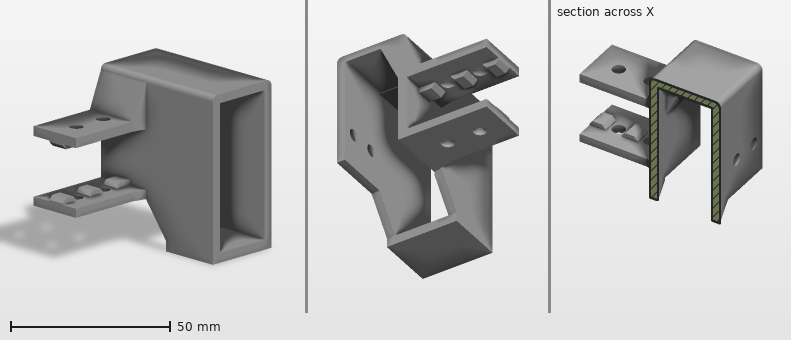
import cadquery as cq

length = 49.5
height = 55.2
depth = 56.0
housing_depth = 26.1
wall = 3.0
floor = 3.25
ceiling = 2.95
edge_radius = 1.9
front_face = -housing_depth
cavity_front = -22.95

open_end = 20.0
open_ceiling = 2.5
open_corner_radius = 0.7
floor_start = 28.85
floor_edge_height = 3.4

arm_width = 18.75
lower_arm_bottom = 15.25
lower_arm_top = 18.2
upper_arm_bottom = 38.1
upper_arm_top = 41.3
shoulder_front = -30.95
shoulder_top = height - edge_radius
hip_bottom = 38.75
hip_back = -16.35
side_slope = (open_end - arm_width) / (front_face - shoulder_front)

tooth_count = 3
tooth_length = (depth - housing_depth) / (2 * tooth_count - 1)
tooth_pitch = 2 * tooth_length
tooth_flat = 3.3
tooth_height = 1.9
tooth_base = 0.45
tooth_width = 6.0
arm_center_x = 10.0
arm_hole_diameter = 4.6

back_hole_diameter = 4.2
back_hole_spacing = 10.0
back_hole_height = 27.6


def extrude_along_x(points, start, end):
    """Extrude a closed (Y, Z) outline from X = start to X = end."""
    return cq.Workplane("YZ").workplane(offset=start).polyline(points).close().extrude(end - start)


def box(x0, x1, y0, y1, z0, z1):
    return cq.Workplane("XY").box(x1 - x0, y1 - y0, z1 - z0, centered=False).translate((x0, y0, z0))


def side_x(y):
    """X of the slanted arm side where it crosses the given Y."""
    return open_end + side_slope * (y - front_face)


def make_housing():
    shell = box(0, length, front_face, 0, 0, height)
    shell = shell.edges("|X and >Z").fillet(edge_radius)
    tube_cavity = box(open_end, length, cavity_front, -wall, floor, height - ceiling)
    open_cavity = box(0, open_end, cavity_front, -wall, 0, height - open_ceiling)
    open_cavity = open_cavity.edges("|X and >Z and >Y").fillet(open_corner_radius)
    lower_corner = (
        cq.Workplane("XZ")
        .polyline([
            (0, 0),
            (floor_start, 0),
            (floor_start, floor_edge_height),
            (open_end, lower_arm_bottom),
            (0, lower_arm_bottom),
        ])
        .close()
        .extrude(housing_depth)
    )
    slanted_wall_end = (
        cq.Workplane("XY")
        .polyline([
            (0, cavity_front),
            (side_x(cavity_front), cavity_front),
            (open_end, front_face),
            (0, front_face),
        ])
        .close()
        .extrude(lower_arm_bottom)
    )
    return shell.cut(tube_cavity).cut(open_cavity).cut(lower_corner).cut(slanted_wall_end)


def make_arms():
    plan = (
        cq.Workplane("XY")
        .polyline([
            (0, hip_back),
            (open_end, hip_back),
            (open_end, front_face),
            (arm_width, shoulder_front),
            (arm_width, -depth),
            (0, -depth),
        ])
        .close()
        .extrude(height)
    )
    lower_arm = box(0, open_end, -depth, cavity_front, lower_arm_bottom, lower_arm_top)
    upper_arm = extrude_along_x(
        [
            (-depth, upper_arm_bottom),
            (-depth, upper_arm_top),
            (shoulder_front, upper_arm_top),
            (front_face, shoulder_top),
            (hip_back, height - open_ceiling),
            (cavity_front, hip_bottom),
            (cavity_front, upper_arm_bottom),
        ],
        0,
        open_end,
    )
    return lower_arm.union(upper_arm).intersect(plan)


def make_tooth(center_y, root_z, direction, at_wall):
    """Tapered tooth standing on an arm face; direction is +1 upward, -1 downward."""
    base_z = root_z + direction * tooth_base
    tip_z = root_z + direction * tooth_height
    half_length = tooth_length / 2
    half_flat = tooth_flat / 2
    back_flat = half_length if at_wall else half_flat
    return extrude_along_x(
        [
            (center_y - half_length, root_z),
            (center_y - half_length, base_z),
            (center_y - half_flat, tip_z),
            (center_y + back_flat, tip_z),
            (center_y + half_length, base_z),
            (center_y + half_length, root_z),
        ],
        arm_center_x - tooth_width / 2,
        arm_center_x + tooth_width / 2,
    )


result = make_housing().union(make_arms())

first_tooth_y = front_face - tooth_length / 2
for index in range(tooth_count):
    tooth_y = first_tooth_y - index * tooth_pitch
    result = result.union(make_tooth(tooth_y, lower_arm_top, 1, index == 0))
    result = result.union(make_tooth(tooth_y, upper_arm_bottom, -1, index == 0))

first_hole_y = first_tooth_y - tooth_pitch / 2
arm_hole_points = [(arm_center_x, first_hole_y - index * tooth_pitch) for index in range(tooth_count - 1)]
arm_holes = cq.Workplane("XY").pushPoints(arm_hole_points).circle(arm_hole_diameter / 2).extrude(height)
result = result.cut(arm_holes)

back_hole_points = [(arm_center_x + side * back_hole_spacing / 2, back_hole_height) for side in (-1, 1)]
back_holes = cq.Workplane("XZ").pushPoints(back_hole_points).circle(back_hole_diameter / 2).extrude(wall)
result = result.cut(back_holes)